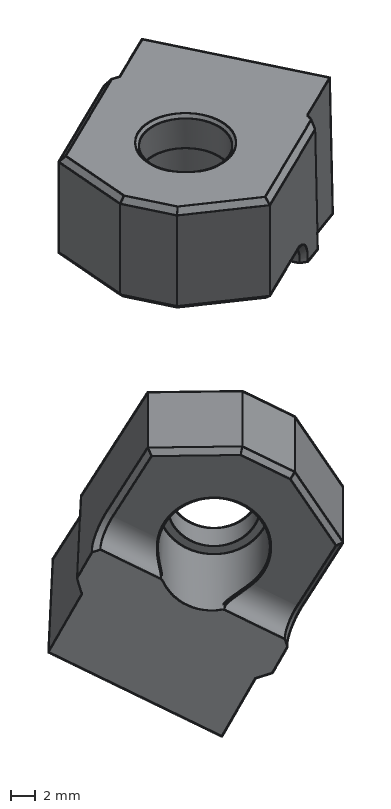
import cadquery as cq
import math

length = 22.0
width = 18.0
height = 14.0
body_thickness = 10.0
edge_chamfer = 0.5

nose_flat = 4.85
nose_angle = 30.0

back_lean = 3.0
underside_slope = 10.0

step_wall_y = 12.5
step_radius = 2.0

neck_width = 16.0
neck_start_y = 15.8

hole_y = 9.0
hole_diameter = 7.5
hole_chamfer = 0.3
counterbore_diameter = 9.0
counterbore_top_z = -3.25
counterbore_chamfer = 0.1

lean_slope = math.tan(math.radians(back_lean))
half_width = width / 2
nose_depth = (half_width - nose_flat / 2) * math.tan(math.radians(nose_angle))
back_top_y = length - height * lean_slope
wall_bottom_z = -height + (length - step_wall_y) * math.tan(math.radians(underside_slope))


def side_prism():
    """Side outline, with the rounded step, swept across the full width."""
    arc_y = step_wall_y - step_radius
    arc_z = -body_thickness - step_radius
    diagonal = step_radius * math.sqrt(0.5)
    return (
        cq.Workplane("YZ")
        .moveTo(0, 0)
        .lineTo(back_top_y, 0)
        .lineTo(length, -height)
        .lineTo(step_wall_y, wall_bottom_z)
        .lineTo(step_wall_y, arc_z)
        .threePointArc((arc_y + diagonal, arc_z + diagonal), (arc_y, -body_thickness))
        .lineTo(0, -body_thickness)
        .close()
        .extrude(half_width, both=True)
    )


def plan_prism():
    """Plan outline with the angled nose, tall enough to enclose the part."""
    return (
        cq.Workplane("XY")
        .polyline([
            (-nose_flat / 2, 0),
            (nose_flat / 2, 0),
            (half_width, nose_depth),
            (half_width, length),
            (-half_width, length),
            (-half_width, nose_depth),
        ])
        .close()
        .extrude(-height)
    )


def chamfer_rims(body):
    """Chamfer the top rim and the lower rim that follows the step up its wall."""
    top_rim = body.faces(">Z").edges("not(>Y)")
    body = top_rim.chamfer(edge_chamfer)
    lower_face = cq.selectors.NearestToPointSelector((0, nose_depth, -body_thickness))
    lower_rim = body.faces(lower_face).edges("not(>Y)")
    return lower_rim.chamfer(edge_chamfer)


def neck_cutter():
    """Right-hand neck notch with a 45 degree shoulder, leaning with the back face."""
    neck_half = neck_width / 2
    shoulder = half_width - neck_half

    def section(z):
        y = neck_start_y - z * lean_slope
        corners = [
            (neck_half, y),
            (half_width + shoulder, y - 2 * shoulder),
            (half_width + shoulder, y + length),
            (neck_half, y + length),
        ]
        return cq.Wire.makePolygon([cq.Vector(px, py, z) for px, py in corners], close=True)

    return cq.Workplane(cq.Solid.makeLoft([section(0), section(-height)], True))


def cut_counterbore(body):
    """Wide bore from below, its rim lightly chamfered over the flat, the round and the wall."""
    radius = counterbore_diameter / 2
    bore = (
        cq.Workplane("XY", origin=(0, hole_y, counterbore_top_z))
        .circle(radius)
        .extrude(-height)
    )
    margin = counterbore_chamfer
    rim = cq.selectors.BoxSelector(
        (-radius - margin, hole_y - radius - margin, wall_bottom_z),
        (radius + margin, step_wall_y + margin, margin - body_thickness),
    )
    return body.cut(bore).edges(rim).chamfer(counterbore_chamfer)


def cut_hole(body):
    """Through hole with a chamfered top edge."""
    center = cq.Workplane("XY").center(0, hole_y)
    hole = center.circle(hole_diameter / 2).extrude(-height)
    countersink = center.circle(hole_diameter / 2 + hole_chamfer).extrude(-hole_chamfer, taper=45)
    return body.cut(hole).cut(countersink)


body = chamfer_rims(side_prism().intersect(plan_prism()))
notch = neck_cutter()
body = body.cut(notch).cut(notch.mirror("YZ"))
body = cut_counterbore(body)
result = cut_hole(body)